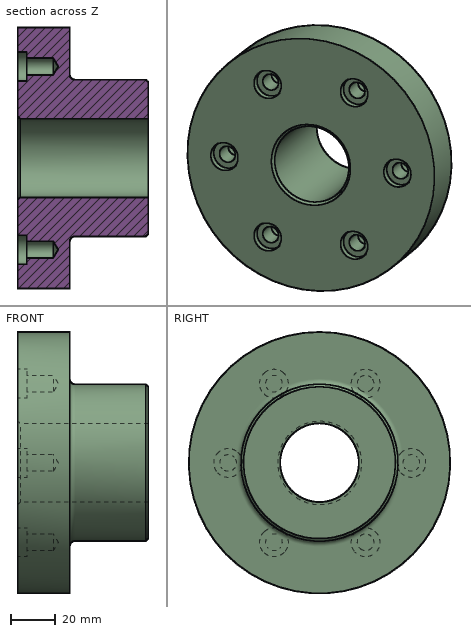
import cadquery as cq
import math

flange_diameter = 118.12
flange_thickness = 23.6
hub_diameter = 70.9
overall_length = 59.06
root_fillet = 2.36
hub_end_chamfer = 1.18

bore_diameter = 35.43
bore_chamfer = 1.18

hole_count = 6
bolt_circle_diameter = 82.68
counterbore_diameter = 13.0
counterbore_depth = 4.1
hole_diameter = 7.5
hole_depth = 16.0
drill_point_angle = 118.0


def make_body():
    """Flange and hub turned as one profile of X (along the axis) and Z (radius)."""
    flange_radius = flange_diameter / 2
    hub_radius = hub_diameter / 2
    fillet_center_x = flange_thickness + root_fillet
    fillet_center_radius = hub_radius + root_fillet
    fillet_reach = root_fillet * math.sqrt(0.5)
    profile = (
        cq.Workplane("XZ")
        .lineTo(0, flange_radius)
        .lineTo(flange_thickness, flange_radius)
        .lineTo(flange_thickness, fillet_center_radius)
        .threePointArc(
            (fillet_center_x - fillet_reach, fillet_center_radius - fillet_reach),
            (fillet_center_x, hub_radius),
        )
        .lineTo(overall_length - hub_end_chamfer, hub_radius)
        .lineTo(overall_length, hub_radius - hub_end_chamfer)
        .lineTo(overall_length, 0)
        .close()
    )
    return profile.revolve(360, (0, 0, 0), (1, 0, 0))


def make_bore():
    """Through bore with a chamfered mouth at the flange face."""
    bore_radius = bore_diameter / 2
    profile = (
        cq.Workplane("XZ")
        .lineTo(0, bore_radius + bore_chamfer)
        .lineTo(bore_chamfer, bore_radius)
        .lineTo(overall_length, bore_radius)
        .lineTo(overall_length, 0)
        .close()
    )
    return profile.revolve(360, (0, 0, 0), (1, 0, 0))


def make_bolt_hole():
    """Counterbored blind hole with a conical drill point, on the X axis."""
    hole_radius = hole_diameter / 2
    counterbore_radius = counterbore_diameter / 2
    point_length = hole_radius / math.tan(math.radians(drill_point_angle / 2))
    profile = (
        cq.Workplane("XZ")
        .lineTo(0, counterbore_radius)
        .lineTo(counterbore_depth, counterbore_radius)
        .lineTo(counterbore_depth, hole_radius)
        .lineTo(hole_depth, hole_radius)
        .lineTo(hole_depth + point_length, 0)
        .close()
    )
    return profile.revolve(360, (0, 0, 0), (1, 0, 0))


result = make_body().cut(make_bore())

bolt_hole = make_bolt_hole()
for index in range(hole_count):
    angle = 2 * math.pi * index / hole_count
    hole_y = bolt_circle_diameter / 2 * math.cos(angle)
    hole_z = bolt_circle_diameter / 2 * math.sin(angle)
    result = result.cut(bolt_hole.translate((0, hole_y, hole_z)))